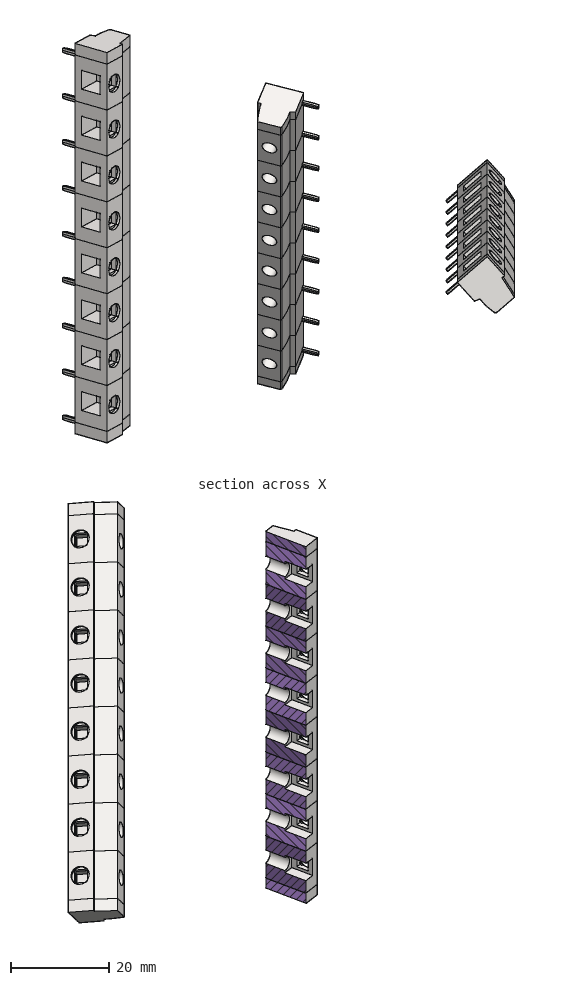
import cadquery as cq

strip_length = 86.4
overall_width = 11.6
block_width = 8.1
block_depth = 10.0
pole_count = 8
pole_pitch = 10.16
end_length = (strip_length - pole_count * pole_pitch) / 2

right_ledge_y = 5.35
left_ledge_outer_y = 5.3
left_ledge_inner_y = 5.6
left_wall_x = 1.1
left_wall_top_y = 7.5
left_top_x = 1.5
top_chamfer = 0.3
right_top_x = 6.65
right_wall_x = 7.4

pocket_x = 4.1
pocket_width = 4.7
pocket_height = 4.15
pocket_depth = 5.2
bore_diameter = 3.1
window_start_y = 1.1
window_size = 2.8
window_y = window_start_y + window_size / 2
recess_diameter = 3.8
recess_depth = 0.6

pin_length = overall_width - block_width
pin_thickness = 0.5
pin_bottom_y = 0.4
pin_height = 1.0
pin_tip_length = 0.8
pin_tip_height = 0.8


def block_slice(bottom_z, length):
    """Plain length of the strip, with the stepped and tapered cross-section."""
    outline = [
        (0, 0),
        (block_width, 0),
        (block_width, right_ledge_y),
        (right_wall_x, right_ledge_y),
        (right_top_x, block_depth),
        (left_top_x + top_chamfer, block_depth),
        (left_top_x, block_depth - top_chamfer),
        (left_wall_x, left_wall_top_y),
        (left_wall_x, left_ledge_inner_y),
        (0, left_ledge_outer_y),
    ]
    return cq.Workplane("XY", origin=(0, 0, bottom_z)).polyline(outline).close().extrude(length)


def half_pin(seam_z, side):
    """Half of a taper-tipped pin, above (side = 1) or below (side = -1) the seam."""
    outline = [
        (0, 0),
        (-pin_length, 0),
        (-pin_length, side * pin_tip_height / 2),
        (-pin_length + pin_tip_length, side * pin_height / 2),
        (0, side * pin_height / 2),
    ]
    plane = cq.Workplane("XZ", origin=(0, pin_bottom_y, seam_z))
    return plane.polyline(outline).close().extrude(-pin_thickness)


def entry_pocket(center_z):
    """Rectangular wire entry, open at the -Y face."""
    plane = cq.Workplane("XZ", origin=(pocket_x, 0, center_z))
    return plane.rect(pocket_width, pocket_height).extrude(-pocket_depth)


def through_bore(center_z):
    """Round bore from the pocket floor out through the +Y face."""
    plane = cq.Workplane("XZ", origin=(pocket_x, 0, center_z))
    return plane.circle(bore_diameter / 2).extrude(-block_depth)


def side_window(center_z):
    """Square opening from the pocket out through the +X face."""
    plane = cq.Workplane("YZ", origin=(pocket_x, window_y, center_z))
    return plane.rect(window_size, window_size).extrude(block_width - pocket_x)


def window_recess(center_z):
    """Shallow round recess in the +X face, around the side window."""
    plane = cq.Workplane("YZ", origin=(block_width, window_y, center_z))
    return plane.circle(recess_diameter / 2).extrude(-recess_depth)


def pole(bottom_z):
    """One pole of the strip, with the inner half of the pin at each of its seams."""
    top_z = bottom_z + pole_pitch
    center_z = bottom_z + pole_pitch / 2
    body = block_slice(bottom_z, pole_pitch)
    body = body.cut(entry_pocket(center_z))
    body = body.cut(through_bore(center_z))
    body = body.cut(side_window(center_z))
    body = body.cut(window_recess(center_z))
    return body.union(half_pin(bottom_z, 1)).union(half_pin(top_z, -1))


def end_block(bottom_z, seam_z, pin_side):
    """Solid end of the strip, with half of the pin at its seam."""
    return block_slice(bottom_z, end_length).union(half_pin(seam_z, pin_side))


first_seam_z = end_length
last_seam_z = strip_length - end_length

bottom_end = end_block(0, first_seam_z, -1)
top_end = end_block(last_seam_z, last_seam_z, 1)
poles = [pole(first_seam_z + index * pole_pitch) for index in range(pole_count)]

result = cq.Compound.makeCompound([bottom_end.val(), top_end.val(), *[body.val() for body in poles]])